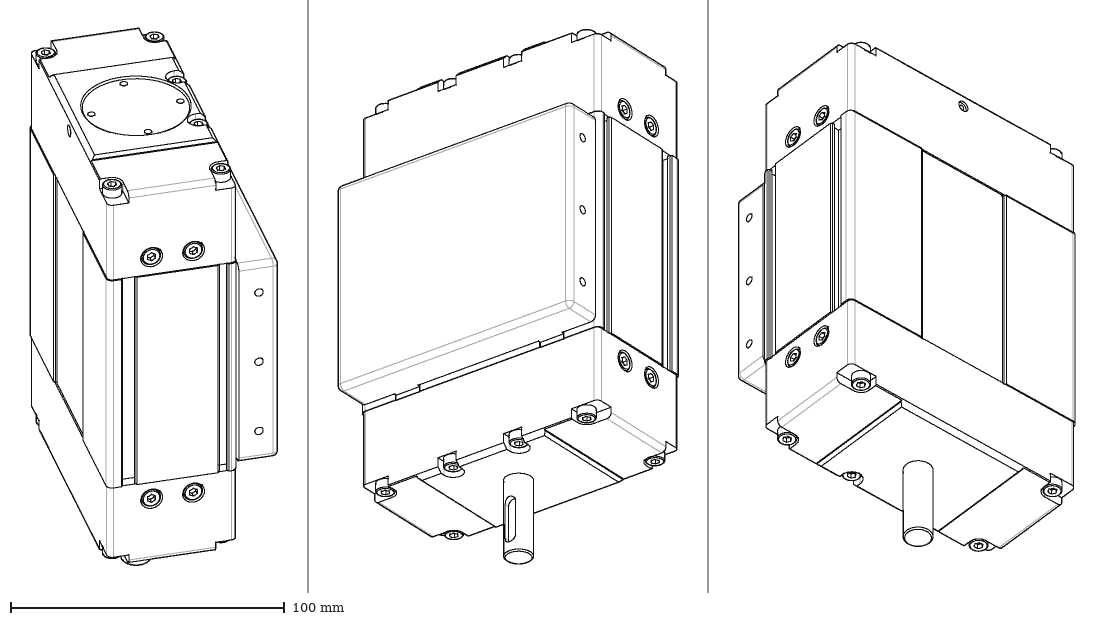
import cadquery as cq
import math

TOP_Z = 196.0
PROFILE_TOP_Z = 158.0
PROFILE_BOTTOM_Z = 68.2
DRIVE_FACE_Z = 32.1

BLOCK_WIDTH = 108.8
BLOCK_FRONT_Y = -25.3
BLOCK_BACK_Y = 23.3
BLOCK_DEPTH = BLOCK_BACK_Y - BLOCK_FRONT_Y
BLOCK_MID_Y = (BLOCK_BACK_Y + BLOCK_FRONT_Y) / 2
BLOCK_EDGE_RADIUS = 2.0
BOSS_WIDTH = 58.8
BOSS_HEIGHT = 1.5
BOSS_SIDE_BEVEL = 1.2
LONG_EDGE_BEVEL = 2.0

HEAD_RADIUS = 3.5
HEAD_CLEARANCE = 0.5
HEAD_HEIGHT = 4.0
HEAD_SINK = 0.2
HEAD_BEVEL = 0.4
SOCKET_ACROSS_FLATS = 3.0
SOCKET_DEPTH = 2.0
SCREW_SEAT_DEPTH = HEAD_HEIGHT + HEAD_SINK
SCREW_EDGE_DISTANCE = 3.7
POCKET_RADIUS = HEAD_RADIUS + HEAD_CLEARANCE
CORNER_SCREW_X = 46.3
BACK_SCREW_X = 15.0
BACK_SCREW_Y = BLOCK_BACK_Y - SCREW_EDGE_DISTANCE
FRONT_SCREW_Y = BLOCK_FRONT_Y + SCREW_EDGE_DISTANCE
SIDE_SCREW_YS = (7.0, -8.8)
SIDE_SCREW_RISE = 7.5

DRILL_POINT_ANGLE = 118

COVER_RADIUS = 20.2
COVER_BEVEL = 0.5
COVER_DEPTH = 0.8
COVER_HOLE_COUNT = 4
COVER_HOLE_CIRCLE = 16.9
COVER_HOLE_RADIUS = 1.4
COVER_HOLE_DEPTH = 2.0

PORT_DROP = 6.7
PORT_RADIUS = 2.2
PORT_DEPTH = 1.0
PORT_BORE_RADIUS = 1.0
PORT_BORE_DEPTH = 4.0

SHAFT_RADIUS = 5.5
SHAFT_BEVEL = 0.5
KEYWAY_BOTTOM_Z = 4.3
KEYWAY_TOP_Z = 23.1
KEYWAY_WIDTH = 4.7
KEYWAY_DEPTH = 2.5

PROFILE_WIDTH = 110.0
PROFILE_FRONT_Y = -25.7
PROFILE_BACK_Y = 23.5
PROFILE_EDGE_RADIUS = 2.4
PROFILE_LENGTH = PROFILE_TOP_Z - PROFILE_BOTTOM_Z
SLOT_BEVEL = 0.5
FRONT_SLOT_X = 19.6
FRONT_SLOT_WIDTH = 0.5
FRONT_SLOT_DEPTH = 1.5
FRONT_PANEL_RECESS = 1.0
SIDE_SLOTS = ((18.2, 3.0), (-17.5, 4.7))
SIDE_SLOT_DEPTH = 4.9
SIDE_SLOT_LIP = 1.5
SIDE_SLOT_UNDERCUT = 1.5

CARRIAGE_WIDTH = 107.8
CARRIAGE_BACK_Y = 39.4
CARRIAGE_UNDERSIDE_Y = 24.3
CARRIAGE_BOTTOM_Z = 70.4
CARRIAGE_TOP_Z = 155.6
CARRIAGE_EDGE_RADIUS = 2.2
CARRIAGE_MID_Z = (CARRIAGE_BOTTOM_Z + CARRIAGE_TOP_Z) / 2
LEG_SEAT_Y = 23.1
LEG_INNER_X = 27.6
LEG_OUTER_X = 38.6
CARRIAGE_HOLE_Y = 32.0
CARRIAGE_HOLE_PITCH = 30.0
CARRIAGE_HOLE_RADIUS = 1.5
CARRIAGE_HOLE_DEPTH = 5.9


def box(x_range, y_range, z_range):
    """Box between two X, two Y and two Z positions."""
    size = [high - low for low, high in (x_range, y_range, z_range)]
    start = [low for low, _ in (x_range, y_range, z_range)]
    return cq.Workplane("XY").box(*size, centered=False).translate(tuple(start))


def cylinder(radius, height, x, y, z):
    """Upright cylinder standing on the point (x, y, z)."""
    return cq.Workplane("XY").circle(radius).extrude(height).translate((x, y, z))


def cone(bottom_radius, top_radius, height):
    """Upright truncated cone standing on the origin; either radius may be zero."""
    return cq.Workplane(cq.Solid.makeCone(bottom_radius, top_radius, height))


def drill_point(radius, depth):
    """Conical end of a drilled hole, whose full radius is at the given depth below Z = 0."""
    point_length = radius / math.tan(math.radians(DRILL_POINT_ANGLE / 2))
    return cone(0, radius, point_length).translate((0, 0, -depth - point_length))


def drilled_hole(radius, depth):
    """Blind hole going down from the origin, with a conical end."""
    return cylinder(radius, depth, 0, 0, -depth).union(drill_point(radius, depth))


def screw_head(x, y, z):
    """Upright socket head standing on the point (x, y, z), with a bevelled rim."""
    head = cylinder(HEAD_RADIUS, HEAD_HEIGHT, 0, 0, 0).faces(">Z").edges().chamfer(HEAD_BEVEL)
    across_corners = SOCKET_ACROSS_FLATS / math.cos(math.pi / 6)
    socket = (
        cq.Workplane("XY").polygon(6, across_corners).extrude(-SOCKET_DEPTH)
        .union(drill_point(SOCKET_ACROSS_FLATS / 2, SOCKET_DEPTH))
    )
    return head.cut(socket.translate((0, 0, HEAD_HEIGHT))).translate((x, y, z))


def block_shell(length):
    """Plain end block standing on the joint plane Z = 0, with its raised boss and bevelled long edges."""

    def blank(width, height):
        return cq.Workplane("XY").box(width, BLOCK_DEPTH, height, centered=(True, True, False))

    body_length = length - BOSS_HEIGHT
    rounded_corners = blank(BLOCK_WIDTH, body_length).edges("|Z").fillet(BLOCK_EDGE_RADIUS)
    rounded_ends = blank(BLOCK_WIDTH, body_length).faces(">Z").edges("|Y").fillet(BLOCK_EDGE_RADIUS)
    boss = blank(BOSS_WIDTH, length).faces(">Z").edges("|Y").chamfer(BOSS_SIDE_BEVEL)
    bevelled_envelope = blank(BLOCK_WIDTH, length).faces(">Z").edges("|X").chamfer(LONG_EDGE_BEVEL)
    shell = rounded_corners.intersect(rounded_ends).union(boss).intersect(bevelled_envelope)
    return shell.translate((0, BLOCK_MID_Y, 0))


def corner_pocket(side, y, edge_y, z_range):
    """Pocket around a corner screw, open to the side (-1 or 1) and to the front or back edge."""
    x = side * CORNER_SCREW_X
    outer_x = side * BLOCK_WIDTH / 2
    inner_x = x - side * POCKET_RADIUS
    inner_y = y - math.copysign(POCKET_RADIUS, edge_y)
    seat_z, top_z = z_range
    return (
        cylinder(POCKET_RADIUS, top_z - seat_z, x, y, seat_z)
        .union(box(sorted((x, outer_x)), sorted((inner_y, edge_y)), z_range))
        .union(box(sorted((inner_x, outer_x)), sorted((y, edge_y)), z_range))
    )


def back_pocket(x, z_range):
    """Round-ended pocket around a back screw, open to the back edge."""
    seat_z, top_z = z_range
    x_range = (x - POCKET_RADIUS, x + POCKET_RADIUS)
    round_end = cylinder(POCKET_RADIUS, top_z - seat_z, x, BACK_SCREW_Y, seat_z)
    return round_end.union(box(x_range, (BACK_SCREW_Y, BLOCK_BACK_Y), z_range))


def add_end_screws(block, length):
    """Screws in open pockets at the four corners and at two places along the back edge."""
    seat_z = length - BOSS_HEIGHT - SCREW_SEAT_DEPTH
    z_range = (seat_z, length)
    for side in (-1, 1):
        for y, edge_y in ((BACK_SCREW_Y, BLOCK_BACK_Y), (FRONT_SCREW_Y, BLOCK_FRONT_Y)):
            block = block.cut(corner_pocket(side, y, edge_y, z_range))
            block = block.union(screw_head(side * CORNER_SCREW_X, y, seat_z))
        x = side * BACK_SCREW_X
        block = block.cut(back_pocket(x, z_range))
        block = block.union(screw_head(x, BACK_SCREW_Y, seat_z))
    return block


def add_side_screws(block):
    """Counterbored screws in both side faces, close to the joint with the profile."""
    seat_x = BLOCK_WIDTH / 2 - SCREW_SEAT_DEPTH
    counterbore = cylinder(POCKET_RADIUS, SCREW_SEAT_DEPTH, 0, 0, seat_x)
    head = screw_head(0, 0, seat_x)

    def on_side(tool, side, y):
        return tool.rotate((0, 0, 0), (0, 1, 0), side * 90).translate((0, y, SIDE_SCREW_RISE))

    for side in (-1, 1):
        for y in SIDE_SCREW_YS:
            block = block.cut(on_side(counterbore, side, y)).union(on_side(head, side, y))
    return block


def end_block(length):
    """End block with all its screws, standing on the joint plane Z = 0."""
    return add_side_screws(add_end_screws(block_shell(length), length))


def make_upper_block():
    """Upper end block with the cover recess and the lubrication port."""
    block = end_block(TOP_Z - PROFILE_TOP_Z).translate((0, 0, PROFILE_TOP_Z))
    recess_z = TOP_Z - COVER_DEPTH
    recess = cone(COVER_RADIUS - COVER_BEVEL, COVER_RADIUS, COVER_DEPTH).translate((0, 0, recess_z))
    block = block.cut(recess)
    for index in range(COVER_HOLE_COUNT):
        angle = index * 2 * math.pi / COVER_HOLE_COUNT
        x = COVER_HOLE_CIRCLE * math.cos(angle)
        y = COVER_HOLE_CIRCLE * math.sin(angle)
        block = block.cut(drilled_hole(COVER_HOLE_RADIUS, COVER_HOLE_DEPTH).translate((x, y, recess_z)))
    front = cq.Workplane("XZ", origin=(0, BLOCK_FRONT_Y, TOP_Z - PORT_DROP))
    port = front.circle(PORT_RADIUS).extrude(-PORT_DEPTH)
    port_bore = front.circle(PORT_BORE_RADIUS).extrude(-PORT_BORE_DEPTH)
    return block.cut(port).cut(port_bore)


def make_drive_block():
    """Lower end block, a mirrored end block, with the keyed shaft."""
    block = end_block(PROFILE_BOTTOM_Z - DRIVE_FACE_Z).mirror("XY").translate((0, 0, PROFILE_BOTTOM_Z))
    shaft = cylinder(SHAFT_RADIUS, DRIVE_FACE_Z, 0, 0, 0).faces("<Z").edges().chamfer(SHAFT_BEVEL)
    keyway_mid_z = (KEYWAY_BOTTOM_Z + KEYWAY_TOP_Z) / 2
    keyway = (
        cq.Workplane("XZ", origin=(0, SHAFT_RADIUS, keyway_mid_z))
        .slot2D(KEYWAY_TOP_Z - KEYWAY_BOTTOM_Z, KEYWAY_WIDTH, 90).extrude(KEYWAY_DEPTH)
    )
    return block.union(shaft.cut(keyway))


def bevelled_slot(width, depth):
    """Slot as long as the profile, with a bevelled mouth on the plane Y = 0 and its floor at Y = -depth."""
    half = width / 2
    mouth = half + SLOT_BEVEL
    outline = [
        (-mouth, 0),
        (-half, -SLOT_BEVEL),
        (-half, -depth),
        (half, -depth),
        (half, -SLOT_BEVEL),
        (mouth, 0),
    ]
    return cq.Workplane("XY").polyline(outline).close().extrude(PROFILE_LENGTH)


def undercut_slot(width):
    """Side slot that widens behind its lips."""
    undercut_half = width / 2 + SIDE_SLOT_UNDERCUT
    y_range = (-SIDE_SLOT_DEPTH, -SIDE_SLOT_LIP)
    undercut = box((-undercut_half, undercut_half), y_range, (0, PROFILE_LENGTH))
    return bevelled_slot(width, SIDE_SLOT_DEPTH).union(undercut)


def make_profile():
    """Extruded housing profile with slots along its front and sides, and two carriage tracks in its back."""
    half_width = PROFILE_WIDTH / 2
    z_range = (0, PROFILE_LENGTH)
    profile = box((-half_width, half_width), (PROFILE_FRONT_Y, PROFILE_BACK_Y), z_range)
    profile = profile.edges("|Z").fillet(PROFILE_EDGE_RADIUS)
    panel_y_range = (PROFILE_FRONT_Y, PROFILE_FRONT_Y + FRONT_PANEL_RECESS)
    profile = profile.cut(box((-FRONT_SLOT_X, FRONT_SLOT_X), panel_y_range, z_range))
    front_slot = bevelled_slot(FRONT_SLOT_WIDTH, FRONT_SLOT_DEPTH).rotate((0, 0, 0), (0, 0, 1), 180)
    for side in (-1, 1):
        profile = profile.cut(front_slot.translate((side * FRONT_SLOT_X, PROFILE_FRONT_Y, 0)))
        for y, width in SIDE_SLOTS:
            side_slot = undercut_slot(width).rotate((0, 0, 0), (0, 0, 1), -side * 90)
            profile = profile.cut(side_slot.translate((side * half_width, y, 0)))
        track_x_range = sorted((side * LEG_INNER_X, side * LEG_OUTER_X))
        profile = profile.cut(box(track_x_range, (LEG_SEAT_Y, PROFILE_BACK_Y), z_range))
    return profile.translate((0, 0, PROFILE_BOTTOM_Z))


def make_carriage():
    """Carriage: rounded plate on two legs that sit in tracks in the back of the profile."""
    half_width = CARRIAGE_WIDTH / 2
    z_range = (CARRIAGE_BOTTOM_Z, CARRIAGE_TOP_Z)
    carriage = (
        box((-half_width, half_width), (CARRIAGE_UNDERSIDE_Y, CARRIAGE_BACK_Y), z_range)
        .edges("|Y or >Y").fillet(CARRIAGE_EDGE_RADIUS)
    )
    for side in (-1, 1):
        x_range = sorted((side * LEG_INNER_X, side * LEG_OUTER_X))
        carriage = carriage.union(box(x_range, (LEG_SEAT_Y, CARRIAGE_UNDERSIDE_Y), z_range))
        hole = drilled_hole(CARRIAGE_HOLE_RADIUS, CARRIAGE_HOLE_DEPTH).rotate((0, 0, 0), (0, 1, 0), side * 90)
        for step in (-1, 0, 1):
            z = CARRIAGE_MID_Z + step * CARRIAGE_HOLE_PITCH
            carriage = carriage.cut(hole.translate((side * half_width, CARRIAGE_HOLE_Y, z)))
    return carriage


upper_block = make_upper_block()
drive_block = make_drive_block()
profile = make_profile()
carriage = make_carriage()

result = cq.Compound.makeCompound(
    [upper_block.val(), drive_block.val(), profile.val(), carriage.val()]
)